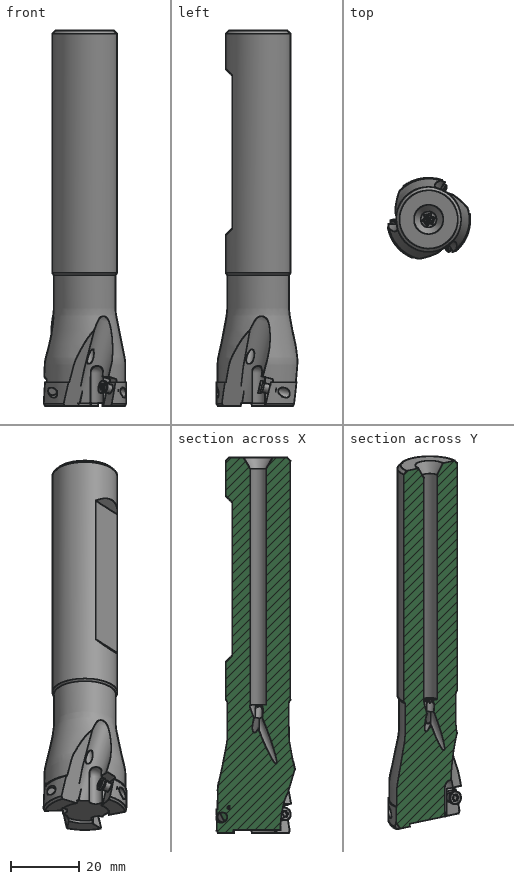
import cadquery as cq
import math

length = 110.2
tooth_count = 3
first_tooth_angle = 60.0

shank_diameter = 19.1
shank_radius = shank_diameter / 2
shank_chamfer = 1.0
shank_bottom = 39.1
shank_step_bottom = 38.5
neck_diameter = 18.2
neck_radius = neck_diameter / 2
cone_top = 27.5
cone_bottom = 13.2
head_diameter = 23.9
head_radius = head_diameter / 2
cone_blend_radius = 10.5
band_radius = 12.2
band_height = 7.0
tip_chamfer_height = 0.8
tip_chamfer_width = 0.4
end_recess_radius = 7.2
end_recess_depth = 0.9

flat_distance = 7.6
flat_bottom = 52.1
flat_top = 97.0
flat_end_angle = 45.0

bore_radius = 2.3
bore_floor = 37.7
bore_mouth_radius = 4.3
bore_mouth_depth = 3.3
coolant_radius = 1.1
coolant_lean = 22.0
coolant_crossing = 33.8
coolant_angle = -17.0
coolant_length = 26.5

trough_radius = 4.0
flank_roll = -7.0
flank_lean = 13.0
flank_edge = 0.2
trough_roll = -12.5
trough_lean = 10.2
trough_top_point = (12.8, 1.3, 24.6)
flute_yaw = 9.0
flank_top_point = (10.5, -0.9, 26.1)
flute_reach = 35.3
flank_width = 17.6
flank_height = 9.9
flank_overrun = 3.3

seat_rake = 13.0
seat_floor = 2.1
seat_wall = 7.4
seat_height = 8.3
seat_cut_size = 6.6
groove_radius = 0.5
gullet_width = 3.9
gullet_radius = gullet_width / 2
gullet_top = 9.9
gullet_place = (7.0, 0.1)

screw_distance = 9.4
screw_height = 5.2
screw_diameter = 2.8
screw_radius = screw_diameter / 2
screw_depth = 2.0
screw_hole_depth = 13.2
screw_head_radius = 1.9
screw_head_gap = 1.8
screw_cone_height = 0.5
screw_head_height = 0.7
socket_radius = 0.8
socket_lobe_radius = 0.28
socket_lobe_count = 6
socket_depth = 0.5


def around_axis(shape, index):
    """Turn a shape made for the +X direction to the given tooth."""
    angle = first_tooth_angle + index * 360 / tooth_count
    return shape.rotate((0, 0, 0), (0, 0, 1), angle)


def in_seat_frame(shape):
    """Place a shape whose seat floor is the XZ plane, with -Y pointing out of the floor."""
    return shape.rotate((0, 0, 0), (1, 0, 0), -seat_rake).translate((0, seat_floor, 0))


def turned_blank():
    profile = (
        cq.Workplane("XZ")
        .moveTo(0, 0)
        .lineTo(band_radius - tip_chamfer_width, 0)
        .lineTo(band_radius, tip_chamfer_height)
        .lineTo(band_radius, band_height)
        .lineTo(head_radius, band_height)
        .lineTo(head_radius, cone_bottom)
        .lineTo(neck_radius, cone_top)
        .lineTo(neck_radius, shank_step_bottom)
        .lineTo(shank_radius, shank_bottom)
        .lineTo(shank_radius, length - shank_chamfer)
        .lineTo(shank_radius - shank_chamfer, length)
        .lineTo(0, length)
        .close()
    )
    blank = profile.revolve(360, (0, 0, 0), (0, 1, 0))
    cone_ends = cq.selectors.BoxSelector(
        (-band_radius, -band_radius, (band_height + cone_bottom) / 2),
        (band_radius, band_radius, (cone_top + shank_step_bottom) / 2),
    )
    return blank.edges("%CIRCLE").edges(cone_ends).fillet(cone_blend_radius)


def end_recess():
    return cq.Workplane("XY").circle(end_recess_radius).extrude(end_recess_depth)


def clamping_flat():
    depth = shank_radius - flat_distance
    run = depth * math.tan(math.radians(flat_end_angle))
    return (
        cq.Workplane("YZ")
        .moveTo(flat_distance, flat_bottom)
        .lineTo(flat_distance + depth, flat_bottom - run)
        .lineTo(flat_distance + depth, flat_top + run)
        .lineTo(flat_distance, flat_top)
        .close()
        .extrude(shank_radius, both=True)
    )


def coolant_bore():
    return (
        cq.Workplane("XZ")
        .moveTo(0, bore_floor)
        .lineTo(bore_radius, bore_floor)
        .lineTo(bore_radius, length - bore_mouth_depth)
        .lineTo(bore_mouth_radius, length)
        .lineTo(0, length)
        .close()
        .revolve(360, (0, 0, 0), (0, 1, 0))
    )


def coolant_outlet():
    above_crossing = (bore_floor - coolant_crossing) / math.cos(math.radians(coolant_lean))
    return (
        cq.Workplane("XY", origin=(0, 0, above_crossing))
        .circle(coolant_radius)
        .extrude(-coolant_length - above_crossing)
        .rotate((0, 0, 0), (0, 1, 0), -coolant_lean)
        .rotate((0, 0, 0), (0, 0, 1), coolant_angle)
        .translate((0, 0, coolant_crossing))
    )


def lean_flute_part(shape, roll, lean, top_point):
    """Tilt a shape whose floor is parallel to the YZ plane and move its origin to the top point."""
    return (
        shape.rotate((0, 0, 0), (1, 0, 0), roll)
        .rotate((0, 0, 0), (0, 1, 0), lean)
        .rotate((0, 0, 0), (0, 0, 1), flute_yaw)
        .translate(top_point)
    )


def flute_trough():
    trough = cq.Workplane("XY").circle(trough_radius).extrude(-flute_reach)
    trough = trough.union(cq.Workplane("XY").sphere(trough_radius))
    return lean_flute_part(trough, trough_roll, trough_lean, trough_top_point)


def flute_flank():
    flank = (
        cq.Workplane("XY")
        .box(flank_height, flank_width, flute_reach + flank_overrun, centered=False)
        .translate((0, flank_edge - flank_width, -flute_reach))
    )
    return lean_flute_part(flank, flank_roll, flank_lean, flank_top_point)


def insert_seat():
    pocket = (
        cq.Workplane("XY")
        .box(seat_cut_size, seat_cut_size, 2 * seat_height, centered=(False, False, True))
        .translate((seat_wall, -seat_cut_size, 0))
    )
    groove = (
        cq.Workplane("YZ", origin=(seat_wall, 0, seat_height - groove_radius))
        .circle(groove_radius)
        .extrude(seat_cut_size)
    )
    return in_seat_frame(pocket.union(groove))


def gullet():
    slot = cq.Workplane("XY").circle(gullet_radius).extrude(gullet_top)
    ball = cq.Workplane("XY").sphere(gullet_radius).translate((0, 0, gullet_top))
    return slot.union(ball).translate((*gullet_place, 0))


def screw_hole():
    hole = (
        cq.Workplane("XZ", origin=(screw_distance, 0, screw_height))
        .circle(screw_radius)
        .extrude(-screw_hole_depth)
    )
    return in_seat_frame(hole)


def cutter_body():
    body = turned_blank().cut(end_recess()).cut(clamping_flat()).cut(coolant_bore())
    tooth_cuts = (
        flute_trough(),
        flute_flank(),
        insert_seat(),
        gullet(),
        screw_hole(),
        coolant_outlet(),
    )
    for index in range(tooth_count):
        for cut in tooth_cuts:
            body = body.cut(around_axis(cut, index))
    return body


def clamping_screw():
    cone_end = screw_head_gap + screw_cone_height
    head_end = cone_end + screw_head_height
    screw = (
        cq.Workplane("XY")
        .moveTo(0, -screw_depth)
        .lineTo(screw_radius, -screw_depth)
        .lineTo(screw_radius, screw_head_gap)
        .lineTo(screw_head_radius, cone_end)
        .lineTo(screw_head_radius, head_end)
        .lineTo(0, head_end)
        .close()
        .revolve(360, (0, 0, 0), (0, 1, 0))
    )
    socket_plane = cq.Workplane("XZ", origin=(0, head_end, 0))
    socket = socket_plane.circle(socket_radius).extrude(socket_depth)
    lobes = (
        socket_plane.polarArray(socket_radius, 0, 360, socket_lobe_count)
        .circle(socket_lobe_radius)
        .extrude(socket_depth)
    )
    screw = screw.cut(socket).cut(lobes)
    screw = screw.rotate((0, 0, 0), (0, 0, 1), 180).translate((screw_distance, 0, screw_height))
    return in_seat_frame(screw)


housing = cutter_body()
screws = [around_axis(clamping_screw(), index) for index in range(tooth_count)]

result = cq.Compound.makeCompound([housing.val(), *[screw.val() for screw in screws]])